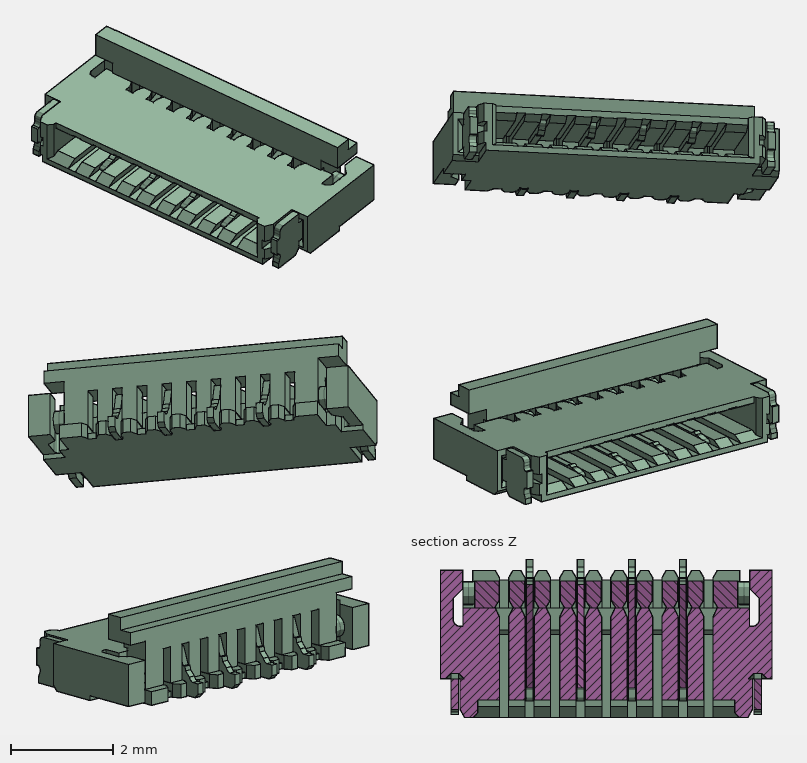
import cadquery as cq
import math


CONTACT_PITCH = 1.0
SLOT_PITCH = CONTACT_PITCH / 2
CONTACT_COUNT = 4
SLOT_COUNT = 2 * CONTACT_COUNT + 1
CONTACT_XS = [(i - (CONTACT_COUNT - 1) / 2) * CONTACT_PITCH for i in range(CONTACT_COUNT)]
SLOT_XS = [(i - (SLOT_COUNT - 1) / 2) * SLOT_PITCH for i in range(SLOT_COUNT)]
EMPTY_SLOT_XS = SLOT_XS[::2]
CONTACT_WIDTH = 0.135
SLOT_WIDTH = 0.175
TOOTH_TAPER_WIDTH = 0.085
FINGER_TAPER_LENGTH = 2.2
ROOF_TAPER_LENGTH = 2.7

HALF_WIDTH = 3.25
HOUSING_BOTTOM = 0.02
HOUSING_TOP = 0.975
NOSE_HALF_WIDTH = 2.865
NOSE_CHAMFER_WIDTH = 0.09
NOSE_CHAMFER_LENGTH = 0.16
ARM_FRONT = 0.76
ARM_REAR = 2.89
HOOK_FRONT = 2.53
ARM_INNER_X = 2.995
CORE_HALF_WIDTH = 2.81
HOOK_LENGTH = ARM_INNER_X - CORE_HALF_WIDTH
ARM_GAP_FRONT = 1.795
ARM_GAP_RADIUS = 0.13
CORE_REAR = 2.215
FINGER_HALF_WIDTH = 2.62
FINGER_REAR = 2.885
ARM_RECESS_TOP = 0.12
ARM_CHAMFER = 0.1
NOSE_NOTCH_X = 2.73
NOSE_NOTCH_TOP = 0.17
NOSE_GROOVE_X = 2.72
NOSE_GROOVE_BOTTOM = 0.41
NOSE_GROOVE_TOP = 0.605
NOSE_GROOVE_DEPTH = 0.325

MOUTH_HALF_WIDTH = 2.605
MOUTH_BOTTOM = 0.135
MOUTH_TOP = 0.845
CAVITY_HALF_WIDTH = 2.515
CAVITY_BOTTOM = 0.255
CAVITY_TOP = 0.74
CAVITY_REAR = 1.625
MOUTH_SIDE_LENGTH = 0.1
MOUTH_RAMP_LENGTH = 0.22
ROOF_FRONT = 0.155
ROOF_CHAMFER_LENGTH = 0.195

UPPER_SLOT_TOP = 0.86
BAR_TOP = 0.66
BAR_BOTTOM = 0.325
BAR_TIP_TOP = 0.6
BAR_TIP_BOTTOM = 0.38
BAR_TIP_LENGTH = 0.1
ROOF_SLOT_FRONT = 1.85
EMPTY_SLOT_FLOOR_REAR = 2.7
CONTACT_SLOT_FLOOR_REAR = 2.56

LEVER_TOP = 1.78
LEVER_FRONT = 2.055
LEVER_REAR = 2.68
LEVER_LIP_TOP = 1.53
LEVER_LIP_FRONT = 2.405
LEVER_STEP_Y = 2.15
LEVER_STEP_Z = 1.035
LEVER_WING_HALF_WIDTH = 2.995
LEVER_WING_BOTTOM = 1.275
LEVER_HALF_WIDTH = 2.58
LEVER_NOTCH_WIDTH = 0.195
TRUNNION_DIAMETER = 0.44
TRUNNION_Y = 2.445
TRUNNION_Z = 0.52
WELL_FLOOR = TRUNNION_Z - TRUNNION_DIAMETER / 2

TAIL_REAR = 3.1
TAIL_CHAMFER = 0.085
TAIL_TOP = 0.3
TAIL_FLAT_FRONT = 2.95
TAIL_CURVE_MIDDLE = (2.89, 0.33)
SPINE_FOOT = (2.855, 0.39)
SPINE_KNEE = (2.75, 0.495)
SPINE_REAR = 2.73
SPINE_SHOULDER = 0.585
SPINE_TOP = 0.94
SPINE_TOP_REAR = LEVER_REAR - 0.13
SPINE_FRONT = LEVER_STEP_Y + 0.065
UPPER_BEAM_TOP = 0.845
UPPER_NOSE_Y = 0.52
UPPER_NOSE_CURVE_MIDDLE = (0.54, 0.785)
UPPER_NOSE_END = (0.585, 0.74)
UPPER_NECK = (0.65, 0.67)
UPPER_TIP_Y = 0.78
UPPER_TIP_LENGTH = 0.065
UPPER_TIP_Z = 0.605
LOWER_BEAM_TOP = 0.27
LOWER_TIP_Y = 0.68
LOWER_TIP_Z = 0.31
LOWER_TIP_HALF_LENGTH = 0.065
LOWER_NOSE_SLOPE_REAR = 0.55
LOWER_NOSE_TOP = (0.39, 0.235)
LOWER_NOSE_CURVE_MIDDLE = (0.345, 0.215)
LOWER_NOSE_TIP = (0.325, 0.17)
LOWER_NOSE_UNDERSIDE_Y = 0.39

TAB_TOP = 0.955
TAB_FRONT = 0.06
TAB_LOBE_BOTTOM = 0.35
TAB_LOBE_TOP = 0.7
TAB_FOOT_FRONT = 0.11
TAB_WAIST_Y = 0.155
TAB_CORNER_REAR = 0.255
TAB_CORNER_CURVE_MIDDLE = (0.19, 0.93)
TAB_CORNER_BOTTOM = 0.86
UPPER_HOLLOW_TOP = 0.79
UPPER_HOLLOW_CURVE_MIDDLE = (0.14, 0.73)
LOWER_HOLLOW_CURVE_MIDDLE = (0.155, 0.29)
LOWER_HOLLOW_END = (0.14, 0.2)
TAB_FOOT_REAR = 0.645
TAB_HEEL_HEIGHT = 0.12
TAB_OUTER_X = 3.04
TAB_THICKNESS = 0.15
TAB_X = TAB_OUTER_X - TAB_THICKNESS / 2
TAB_POCKET_HALF_WIDTH = 0.18
TAB_POCKET_BOTTOM = 0.17
TAB_POCKET_TOP = 0.845
TAB_POCKET_TAPER = TAB_POCKET_HALF_WIDTH - TAB_THICKNESS / 2
TAB_STEM_BOTTOM = TAB_POCKET_BOTTOM + TAB_POCKET_TAPER
TAB_STEM_TOP = TAB_POCKET_TOP - TAB_POCKET_TAPER
TAB_STEM_REAR = 1.3

SIDES = (-1, 1)


def block(x0, x1, y0, y1, z0, z1):
    """Box between two opposite corners, given as coordinate ranges."""
    return cq.Workplane("XY").box(x1 - x0, y1 - y0, z1 - z0, centered=False).translate((x0, y0, z0))


def centred_block(half_width, y0, y1, z0, z1):
    return block(-half_width, half_width, y0, y1, z0, z1)


def side_block(side, x_near, x_far, y0, y1, z0, z1):
    """Box on one side of the middle plane, from |x| = x_near out to x_far."""
    x0, x1 = sorted((side * x_near, side * x_far))
    return block(x0, x1, y0, y1, z0, z1)


def plate_across_x(yz_profile, x_middle, thickness):
    """Extrude a closed YZ profile symmetrically about x_middle."""
    return yz_profile.extrude(thickness / 2, both=True).translate((x_middle, 0, 0))


def flared_slot(x_middle, width, y_closed, y_open, taper_length, z0, z1):
    """Slot that widens over its last stretch towards y_open, leaving tapered teeth beside it."""
    direction = math.copysign(0.065, y_open - y_closed)
    y_flare = y_open - direction * taper_length
    narrow = width / 2
    wide = narrow + TOOTH_TAPER_WIDTH
    outline = [
        (-narrow, y_closed), (-narrow, y_flare), (-wide, y_open),
        (wide, y_open), (narrow, y_flare), (narrow, y_closed),
    ]
    return cq.Workplane("XY").polyline(outline).close().extrude(z1 - z0).translate((x_middle, 0, z0))


def housing_half():
    """Left half of the housing outline: nose, side arm with hook, core and rear finger block."""
    arc_shift = ARM_GAP_RADIUS * (1 - math.sqrt(0.5))
    return (
        cq.Workplane("XY").workplane(offset=HOUSING_BOTTOM)
        .moveTo(0, 0)
        .lineTo(-NOSE_HALF_WIDTH + NOSE_CHAMFER_WIDTH, 0)
        .lineTo(-NOSE_HALF_WIDTH, NOSE_CHAMFER_LENGTH)
        .lineTo(-NOSE_HALF_WIDTH, ARM_FRONT)
        .lineTo(-HALF_WIDTH, ARM_FRONT)
        .lineTo(-HALF_WIDTH, ARM_REAR)
        .lineTo(-CORE_HALF_WIDTH, ARM_REAR)
        .lineTo(-CORE_HALF_WIDTH, HOOK_FRONT)
        .lineTo(-ARM_INNER_X, HOOK_FRONT - HOOK_LENGTH)
        .lineTo(-ARM_INNER_X, ARM_GAP_FRONT + ARM_GAP_RADIUS)
        .threePointArc(
            (-ARM_INNER_X + arc_shift, ARM_GAP_FRONT + arc_shift),
            (-ARM_INNER_X + ARM_GAP_RADIUS, ARM_GAP_FRONT),
        )
        .lineTo(-CORE_HALF_WIDTH, ARM_GAP_FRONT)
        .lineTo(-CORE_HALF_WIDTH, CORE_REAR)
        .lineTo(-FINGER_HALF_WIDTH, CORE_REAR)
        .lineTo(-FINGER_HALF_WIDTH, FINGER_REAR)
        .lineTo(0, FINGER_REAR)
        .close()
        .extrude(HOUSING_TOP - HOUSING_BOTTOM)
    )


def cable_cavity():
    """Cable cavity with a ramped floor, chamfered roof and sides, and the roof set back in front."""
    height_profile = (
        cq.Workplane("YZ")
        .polyline([
            (0, MOUTH_BOTTOM), (MOUTH_RAMP_LENGTH, CAVITY_BOTTOM),
            (CAVITY_REAR, CAVITY_BOTTOM), (CAVITY_REAR, CAVITY_TOP),
            (ROOF_FRONT + ROOF_CHAMFER_LENGTH, CAVITY_TOP), (ROOF_FRONT, MOUTH_TOP),
            (ROOF_FRONT, HOUSING_TOP), (0, HOUSING_TOP),
        ])
        .close()
    )
    width_outline = (
        cq.Workplane("XY")
        .polyline([
            (-MOUTH_HALF_WIDTH, 0), (-CAVITY_HALF_WIDTH, MOUTH_SIDE_LENGTH),
            (-CAVITY_HALF_WIDTH, CAVITY_REAR), (CAVITY_HALF_WIDTH, CAVITY_REAR),
            (CAVITY_HALF_WIDTH, MOUTH_SIDE_LENGTH), (MOUTH_HALF_WIDTH, 0),
        ])
        .close()
        .extrude(HOUSING_TOP)
    )
    return plate_across_x(height_profile, 0, 2 * MOUTH_HALF_WIDTH).intersect(width_outline)


def contact_slot(x_middle, floor_rear):
    """Upper and lower slot with a pointed bar between them, open to the top and the rear."""
    upper = (
        cq.Workplane("YZ")
        .polyline([
            (0, UPPER_SLOT_TOP), (0, BAR_TIP_TOP), (CAVITY_REAR, BAR_TIP_TOP),
            (CAVITY_REAR + BAR_TIP_LENGTH, BAR_TOP), (LEVER_STEP_Y, BAR_TOP),
            (LEVER_STEP_Y, UPPER_SLOT_TOP),
        ])
        .close()
    )
    lower = (
        cq.Workplane("YZ")
        .polyline([
            (0, MOUTH_BOTTOM), (0, BAR_TIP_BOTTOM), (CAVITY_REAR, BAR_TIP_BOTTOM),
            (CAVITY_REAR + BAR_TIP_LENGTH, BAR_BOTTOM), (FINGER_REAR, BAR_BOTTOM),
            (FINGER_REAR, MOUTH_BOTTOM),
        ])
        .close()
    )
    roof = flared_slot(
        x_middle, SLOT_WIDTH, ROOF_SLOT_FRONT, LEVER_STEP_Y, ROOF_TAPER_LENGTH, BAR_TOP, HOUSING_TOP
    )
    rear = flared_slot(
        x_middle, SLOT_WIDTH, floor_rear, FINGER_REAR, FINGER_TAPER_LENGTH, HOUSING_BOTTOM, WELL_FLOOR
    )
    return (
        plate_across_x(upper, x_middle, SLOT_WIDTH)
        .union(plate_across_x(lower, x_middle, SLOT_WIDTH))
        .union(roof)
        .union(rear)
    )


def tab_stem(side):
    """Stem behind a solder tab, which fills the hole in its arm."""
    return side_block(
        side, TAB_OUTER_X - TAB_THICKNESS, TAB_OUTER_X,
        ARM_FRONT, TAB_STEM_REAR, TAB_STEM_BOTTOM, TAB_STEM_TOP,
    )


def tab_pocket(side):
    """Pocket in the front of an arm that narrows to the size of the tab stem."""
    middle_z = (TAB_POCKET_BOTTOM + TAB_POCKET_TOP) / 2
    lead_in = (
        cq.Workplane("XZ", origin=(side * TAB_X, ARM_FRONT, middle_z))
        .rect(2 * TAB_POCKET_HALF_WIDTH, TAB_POCKET_TOP - TAB_POCKET_BOTTOM)
        .extrude(-TAB_POCKET_TAPER, taper=45)
    )
    return lead_in.union(tab_stem(side))


def arm_front_chamfer(side):
    """Wedge under the front edge of an arm."""
    wedge = cq.Workplane("YZ").polyline([
        (ARM_FRONT, HOUSING_BOTTOM),
        (ARM_FRONT + ARM_CHAMFER, HOUSING_BOTTOM),
        (ARM_FRONT, HOUSING_BOTTOM + ARM_CHAMFER),
    ]).close()
    width = HALF_WIDTH - NOSE_NOTCH_X
    return plate_across_x(wedge, side * (NOSE_NOTCH_X + width / 2), width)


def make_housing():
    half = housing_half()
    housing = half.union(half.mirror("YZ")).cut(cable_cavity())

    lever_well = centred_block(CORE_HALF_WIDTH, LEVER_STEP_Y, FINGER_REAR, WELL_FLOOR, HOUSING_TOP)
    housing = housing.cut(lever_well)

    for x in EMPTY_SLOT_XS:
        housing = housing.cut(contact_slot(x, EMPTY_SLOT_FLOOR_REAR))
    for x in CONTACT_XS:
        housing = housing.cut(contact_slot(x, CONTACT_SLOT_FLOOR_REAR))

    for side in SIDES:
        arm_recess = side_block(
            side, CORE_HALF_WIDTH, HALF_WIDTH, ARM_GAP_FRONT, ARM_REAR, HOUSING_BOTTOM, ARM_RECESS_TOP
        )
        nose_notch = side_block(
            side, NOSE_NOTCH_X, NOSE_HALF_WIDTH, 0, ARM_FRONT, HOUSING_BOTTOM, NOSE_NOTCH_TOP
        )
        nose_groove = side_block(
            side, NOSE_GROOVE_X, NOSE_HALF_WIDTH,
            0, NOSE_GROOVE_DEPTH, NOSE_GROOVE_BOTTOM, NOSE_GROOVE_TOP,
        )
        housing = (
            housing.cut(arm_recess).cut(nose_notch).cut(nose_groove)
            .cut(arm_front_chamfer(side)).cut(tab_pocket(side))
        )
    return housing


def make_lever():
    profile = (
        cq.Workplane("YZ")
        .polyline([
            (LEVER_FRONT, LEVER_STEP_Z), (LEVER_FRONT, LEVER_TOP), (LEVER_LIP_FRONT, LEVER_TOP),
            (LEVER_LIP_FRONT, LEVER_LIP_TOP), (LEVER_REAR, LEVER_LIP_TOP), (LEVER_REAR, WELL_FLOOR),
            (LEVER_STEP_Y, WELL_FLOOR), (LEVER_STEP_Y, LEVER_STEP_Z),
        ])
        .close()
    )
    lever = plate_across_x(profile, 0, 2 * LEVER_WING_HALF_WIDTH)
    for side in SIDES:
        lever = lever.cut(side_block(
            side, LEVER_HALF_WIDTH, LEVER_WING_HALF_WIDTH,
            LEVER_FRONT, LEVER_REAR, WELL_FLOOR, LEVER_WING_BOTTOM,
        ))
    for x in SLOT_XS:
        lever = lever.cut(flared_slot(
            x, LEVER_NOTCH_WIDTH, LEVER_REAR, LEVER_STEP_Y, FINGER_TAPER_LENGTH, WELL_FLOOR, LEVER_STEP_Z
        ))
    trunnion_length = CORE_HALF_WIDTH - LEVER_HALF_WIDTH
    for side in SIDES:
        circle = cq.Workplane("YZ").center(TRUNNION_Y, TRUNNION_Z).circle(TRUNNION_DIAMETER / 2)
        trunnion_x = side * (LEVER_HALF_WIDTH + trunnion_length / 2)
        lever = lever.union(plate_across_x(circle, trunnion_x, trunnion_length))
    return lever


def make_contact(x_middle):
    """Fork-shaped contact: solder tail, spine, lower beam and upper beam with a rounded nose."""
    profile = (
        cq.Workplane("YZ")
        .moveTo(CONTACT_SLOT_FLOOR_REAR, 0)
        .lineTo(TAIL_REAR - TAIL_CHAMFER, 0)
        .lineTo(TAIL_REAR, TAIL_CHAMFER)
        .lineTo(TAIL_REAR, TAIL_TOP)
        .lineTo(TAIL_FLAT_FRONT, TAIL_TOP)
        .threePointArc(TAIL_CURVE_MIDDLE, SPINE_FOOT)
        .lineTo(*SPINE_KNEE)
        .lineTo(SPINE_REAR, SPINE_SHOULDER)
        .lineTo(LEVER_REAR, SPINE_SHOULDER)
        .lineTo(SPINE_TOP_REAR, SPINE_TOP)
        .lineTo(LEVER_STEP_Y, SPINE_TOP)
        .lineTo(ROOF_SLOT_FRONT, UPPER_BEAM_TOP)
        .lineTo(UPPER_NOSE_Y, UPPER_BEAM_TOP)
        .threePointArc(UPPER_NOSE_CURVE_MIDDLE, UPPER_NOSE_END)
        .lineTo(*UPPER_NECK)
        .lineTo(UPPER_TIP_Y, UPPER_TIP_Z)
        .lineTo(UPPER_TIP_Y + UPPER_TIP_LENGTH, UPPER_TIP_Z)
        .lineTo(UPPER_TIP_Y + 2 * UPPER_TIP_LENGTH, BAR_TOP)
        .lineTo(SPINE_FRONT, BAR_TOP)
        .lineTo(SPINE_FRONT, LOWER_BEAM_TOP)
        .lineTo(LOWER_TIP_Y + LOWER_TIP_HALF_LENGTH, LOWER_BEAM_TOP)
        .threePointArc(
            (LOWER_TIP_Y, LOWER_TIP_Z), (LOWER_TIP_Y - LOWER_TIP_HALF_LENGTH, LOWER_BEAM_TOP)
        )
        .lineTo(LOWER_NOSE_SLOPE_REAR, LOWER_BEAM_TOP)
        .lineTo(*LOWER_NOSE_TOP)
        .threePointArc(LOWER_NOSE_CURVE_MIDDLE, LOWER_NOSE_TIP)
        .lineTo(LOWER_NOSE_UNDERSIDE_Y, MOUTH_BOTTOM)
        .lineTo(CONTACT_SLOT_FLOOR_REAR, MOUTH_BOTTOM)
        .close()
    )
    return plate_across_x(profile, x_middle, CONTACT_WIDTH)


def make_tab(side):
    """Upright solder tab with a waved front edge and a stem that fills the arm pocket."""
    profile = (
        cq.Workplane("YZ")
        .moveTo(TAB_FOOT_FRONT, 0)
        .lineTo(TAB_FOOT_REAR, 0)
        .lineTo(ARM_FRONT, TAB_HEEL_HEIGHT)
        .lineTo(ARM_FRONT, TAB_TOP)
        .lineTo(TAB_CORNER_REAR, TAB_TOP)
        .threePointArc(TAB_CORNER_CURVE_MIDDLE, (TAB_WAIST_Y, TAB_CORNER_BOTTOM))
        .lineTo(TAB_WAIST_Y, UPPER_HOLLOW_TOP)
        .threePointArc(UPPER_HOLLOW_CURVE_MIDDLE, (TAB_FOOT_FRONT, TAB_LOBE_TOP))
        .lineTo(TAB_FRONT, TAB_LOBE_TOP)
        .lineTo(TAB_FRONT, TAB_LOBE_BOTTOM)
        .lineTo(TAB_FOOT_FRONT, TAB_LOBE_BOTTOM)
        .threePointArc(LOWER_HOLLOW_CURVE_MIDDLE, LOWER_HOLLOW_END)
        .lineTo(TAB_FOOT_FRONT, TAB_HEEL_HEIGHT)
        .close()
    )
    return plate_across_x(profile, side * TAB_X, TAB_THICKNESS).union(tab_stem(side))


housing = make_housing()
lever = make_lever()
contacts = [make_contact(x) for x in CONTACT_XS]
tabs = [make_tab(side) for side in SIDES]

result = cq.Compound.makeCompound(
    [housing.val(), lever.val()]
    + [contact.val() for contact in contacts]
    + [tab.val() for tab in tabs]
)